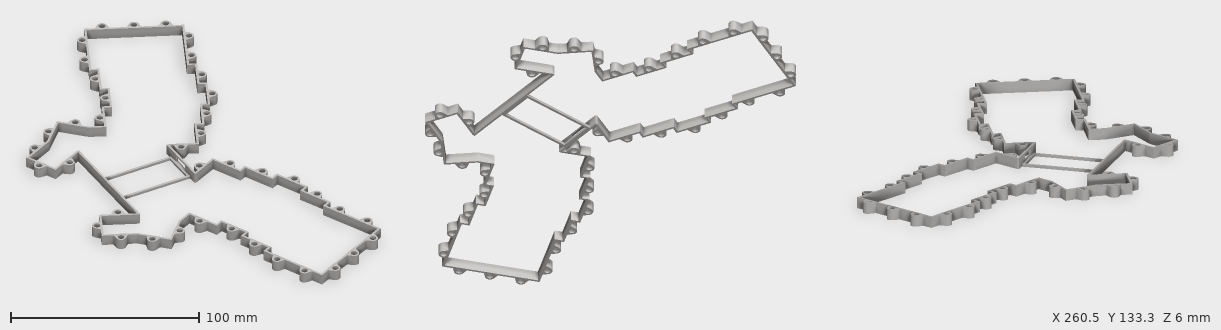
import cadquery as cq
import math

WALL_HEIGHT = 6.0
FRAME_HEIGHT = 1.5

KEY_WIDTH = 18.0
KEY_DEPTH = 17.0
ROWS = 3
STAGGER = KEY_DEPTH / 4
COLUMN_STEPS = [0, 0, 1, 2, 1, 0]
HALF_TILT = 25.0
HOME_KEY_X = -27.93
HOME_KEY_Y = 0.08

THUMB_FAN = 20.0
THUMB_DROP = 5.0

WALL = 1.2

BOSS_DIAMETER = 5.45
BOSS_HOLE = 3.5
BOSS_OFFSET = 2.975
BOSS_FOOT = 7.7

BACK_WALL_Y = 4.58
BACK_CORNER_X = 15.35
FRONT_WALL_Y = -38.6
FRONT_CORNER_X = 33.5

WINDOW_WIDTH = 10.0
WINDOW_BOTTOM = FRAME_HEIGHT
WINDOW_TOP = 5.0

FRAME_WIDTH = 21.1
FRAME_BAR = 1.4
FRAME_FRONT_Y = FRONT_WALL_Y
FRAME_OPENING_BACK_Y = 3.3


class Placement:
    """A local frame set at a point and turned about Z."""

    def __init__(self, x, y, angle):
        self.x = x
        self.y = y
        self.angle = angle

    def to_part(self, u, v):
        """Part coordinates of the local point (u, v)."""
        turn = math.radians(self.angle)
        x = self.x + u * math.cos(turn) - v * math.sin(turn)
        y = self.y + u * math.sin(turn) + v * math.cos(turn)
        return (x, y)

    def across_at_x(self, u, x):
        """Point with part coordinate x on the local line of constant u."""
        turn = math.radians(self.angle)
        v = (self.x + u * math.cos(turn) - x) / math.sin(turn)
        return self.to_part(u, v)

    def along_at_x(self, v, x):
        """Point with part coordinate x on the local line of constant v."""
        turn = math.radians(self.angle)
        u = (x - self.x + v * math.sin(turn)) / math.cos(turn)
        return self.to_part(u, v)


grid = Placement(HOME_KEY_X, HOME_KEY_Y, -HALF_TILT)
HALF_KEY = KEY_WIDTH / 2
HALF_KEY_DEPTH = KEY_DEPTH / 2
HALF_COLUMN = ROWS * KEY_DEPTH / 2
LAST_COLUMN = len(COLUMN_STEPS) - 1
COLUMNS = [((i - LAST_COLUMN) * KEY_WIDTH, step * STAGGER) for i, step in enumerate(COLUMN_STEPS)]
OUTER_EDGE = COLUMNS[0][0] - HALF_KEY

thumb_1 = Placement(*grid.to_part(-HALF_KEY, -HALF_COLUMN - THUMB_DROP), -HALF_TILT - THUMB_FAN)
thumb_2 = Placement(*thumb_1.to_part(KEY_WIDTH, -KEY_DEPTH), -HALF_TILT - 2 * THUMB_FAN)


def inner_outline():
    """Inner wall face of the left half, from the front joining wall clockwise to the back one."""
    points = [
        (-FRONT_CORNER_X, FRONT_WALL_Y),
        thumb_2.along_at_x(KEY_DEPTH, -FRONT_CORNER_X),
        thumb_2.to_part(KEY_WIDTH, KEY_DEPTH),
        thumb_2.to_part(KEY_WIDTH, 0),
        thumb_2.to_part(0, 0),
        thumb_1.to_part(0, -KEY_DEPTH),
        thumb_1.to_part(0, 0),
    ]
    edge_points = []
    for side in (-1, 1):
        columns = COLUMNS[-2::-1] if side < 0 else COLUMNS
        for u, shift in columns:
            v = shift + side * HALF_COLUMN
            edge_points.append((u - side * HALF_KEY, v))
            edge_points.append((u + side * HALF_KEY, v))
    for i, point in enumerate(edge_points):
        before = edge_points[i - 1]
        after = edge_points[(i + 1) % len(edge_points)]
        if not before[1] == point[1] == after[1]:
            points.append(grid.to_part(*point))
    points.append(grid.across_at_x(HALF_KEY, -BACK_CORNER_X))
    points.append((-BACK_CORNER_X, BACK_WALL_Y))
    return points


def perimeter_wall():
    left = inner_outline()
    right = [(-x, y) for x, y in reversed(left)]
    inside = cq.Workplane("XY").polyline(left + right).close()
    outside = inside.offset2D(WALL, "intersection").extrude(WALL_HEIGHT)
    opening = cq.Workplane("XY").polyline(left + right).close().extrude(WALL_HEIGHT)
    return outside.cut(opening)


def boss_places():
    """Points on the inner wall face of the left half with the outward direction in degrees."""
    places = []
    for row in (-1, 0, 1):
        places.append((grid, OUTER_EDGE, row * KEY_DEPTH, 180))
    for u, shift in COLUMNS:
        places.append((grid, u, shift + HALF_COLUMN, 90))
    for u, shift in COLUMNS[:-1]:
        places.append((grid, u, shift - HALF_COLUMN, -90))
    places.append((grid, HALF_KEY, KEY_DEPTH, 0))
    places.append((thumb_1, 0, -HALF_KEY_DEPTH, 180))
    places.append((thumb_1, HALF_KEY, -KEY_DEPTH, -90))
    places.append((thumb_2, HALF_KEY, 0, -90))
    places.append((thumb_2, KEY_WIDTH, HALF_KEY_DEPTH, 0))
    places.append((thumb_2, HALF_KEY, KEY_DEPTH, 90))
    return [(frame.to_part(u, v), frame.angle + outward) for frame, u, v, outward in places]


def place(shape, point, outward):
    return shape.rotate((0, 0, 0), (0, 0, 1), outward).translate((*point, 0))


def boss():
    """Boss whose wall lies across local X, with gusset sides running from the wall tangent to the tube."""
    radius = BOSS_DIAMETER / 2
    foot = BOSS_FOOT / 2
    foot_distance = math.hypot(BOSS_OFFSET - WALL, foot)
    tangent_angle = math.atan2(foot, WALL - BOSS_OFFSET) - math.acos(radius / foot_distance)
    tangent_x = BOSS_OFFSET + radius * math.cos(tangent_angle)
    tangent_y = radius * math.sin(tangent_angle)
    gusset_points = [
        (WALL / 2, -foot),
        (WALL, -foot),
        (tangent_x, -tangent_y),
        (tangent_x, tangent_y),
        (WALL, foot),
        (WALL / 2, foot),
    ]
    gusset = cq.Workplane("XY").polyline(gusset_points).close().extrude(WALL_HEIGHT)
    tube = cq.Workplane("XY").center(BOSS_OFFSET, 0).circle(radius).extrude(WALL_HEIGHT)
    return gusset.union(tube)


def boss_hole():
    return cq.Workplane("XY").center(BOSS_OFFSET, 0).circle(BOSS_HOLE / 2).extrude(WALL_HEIGHT)


def on_both_halves(shape):
    """The shape at every boss place of the left half and mirrored onto the right half."""
    solids = [place(shape, point, outward).val() for point, outward in boss_places()]
    solids += [solid.mirror("YZ") for solid in solids]
    return solids


def connector_window():
    window = cq.Workplane("XY").box(WINDOW_WIDTH, WALL, WINDOW_TOP - WINDOW_BOTTOM, (True, False, False))
    return window.translate((0, BACK_WALL_Y, WINDOW_BOTTOM)).val()


def low_frame():
    """Flat rectangular ring on the floor, reaching under the back wall and up to the front wall."""
    frame_back_y = BACK_WALL_Y + WALL
    opening_front_y = FRAME_FRONT_Y + FRAME_BAR
    opening_width = FRAME_WIDTH - 2 * FRAME_BAR
    frame_depth = frame_back_y - FRAME_FRONT_Y
    opening_depth = FRAME_OPENING_BACK_Y - opening_front_y
    from_front = (True, False, False)
    ring = cq.Workplane("XY").box(FRAME_WIDTH, frame_depth, FRAME_HEIGHT, from_front)
    opening = cq.Workplane("XY").box(opening_width, opening_depth, FRAME_HEIGHT, from_front)
    ring = ring.translate((0, FRAME_FRONT_Y, 0))
    return ring.cut(opening.translate((0, opening_front_y, 0)))


body = perimeter_wall().union(low_frame()).val()
body = body.fuse(*on_both_halves(boss()))
body = body.cut(connector_window(), *on_both_halves(boss_hole()))
result = cq.Workplane(body)